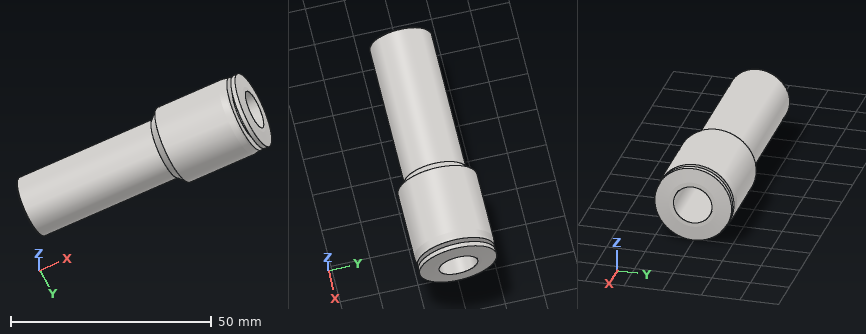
import cadquery as cq

stem_chamfer = 0.4
stem_end = 38.0
body_start = 40.25
body_end_taper_start = 58.3
body_end_taper_end = 59.8
body_end = 60.35
flange_start = 61.5
flange_end = 62.7
total_length = 63.0

stem_radius = 16.0 / 2
body_radius = 20.5 / 2
collar_radius = 19.9 / 2
neck_radius = 14.0 / 2
end_face_radius = 12.2 / 2
bore_radius = 9.95 / 2

profile = [
    (0, bore_radius),
    (0, stem_radius - stem_chamfer),
    (stem_chamfer, stem_radius),
    (stem_end, stem_radius),
    (body_start, body_radius),
    (body_end_taper_start, body_radius),
    (body_end_taper_end, collar_radius),
    (body_end, collar_radius),
    (body_end, neck_radius),
    (flange_start, neck_radius),
    (flange_start, collar_radius),
    (flange_end, collar_radius),
    (total_length, end_face_radius),
    (total_length, bore_radius),
]

result = cq.Workplane("XY").polyline(profile).close().revolve(360, (0, 0, 0), (1, 0, 0))